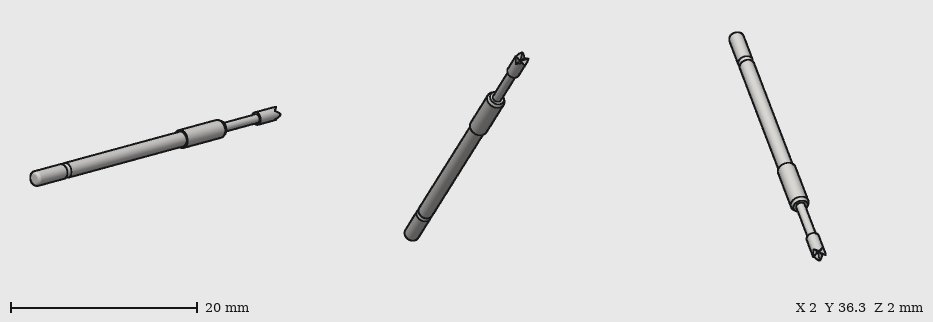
import cadquery as cq
import math

total_length = 36.3
crown_length = 3.0
tip_to_collar = 8.25
collar_length = 6.0
tail_length = 4.2
groove_width = 0.6

crown_diameter = 1.4
plunger_diameter = 0.98
collar_diameter = 2.0
barrel_diameter = 1.65
groove_diameter = 1.4

collar_nose_diameter = 1.6
collar_nose_length = 0.4
tail_fillet = 0.35

notch_depth = 0.7
notch_count = 2
first_notch_angle = 45

tip_y = total_length / 2
tail_y = -total_length / 2
crown_rear_y = tip_y - crown_length
collar_front_y = tip_y - tip_to_collar
collar_rear_y = collar_front_y - collar_length
groove_rear_y = tail_y + tail_length


def rod(rear_y, front_y, diameter):
    """Cylinder along Y between two stations."""
    plane = cq.Workplane("XZ", origin=(0, front_y, 0))
    return plane.circle(diameter / 2).extrude(front_y - rear_y)


def make_barrel():
    """Long round barrel with a rounded tail and a ring groove of arc section."""
    barrel = rod(tail_y, collar_rear_y, barrel_diameter)
    barrel = barrel.faces("<Y").edges().fillet(tail_fillet)

    barrel_radius = barrel_diameter / 2
    rear_edge = (barrel_radius, groove_rear_y)
    deepest_point = (groove_diameter / 2, groove_rear_y + groove_width / 2)
    front_edge = (barrel_radius, groove_rear_y + groove_width)
    section = cq.Workplane("XY").moveTo(*rear_edge).threePointArc(deepest_point, front_edge).close()
    groove = section.revolve(360, (0, 0, 0), (0, 1, 0))
    return barrel.cut(groove)


def make_collar():
    """Thick collar with a tapered nose."""
    collar = rod(collar_rear_y, collar_front_y, collar_diameter)
    nose_height = (collar_diameter - collar_nose_diameter) / 2
    return collar.faces(">Y").chamfer(collar_nose_length, nose_height)


def make_plunger():
    """Thin shaft joining the collar to the crown."""
    return rod(collar_front_y, crown_rear_y, plunger_diameter)


def make_crown():
    """Crown head with V-notches crossing on the diagonals."""
    radius = crown_diameter / 2
    crown = rod(crown_rear_y, tip_y, crown_diameter)

    half_width = radius * math.sin(math.pi / (2 * notch_count))
    notch_profile = [(-half_width, tip_y), (half_width, tip_y), (0, tip_y - notch_depth)]
    notch = cq.Workplane("XY").polyline(notch_profile).close().extrude(radius, both=True)
    for index in range(notch_count):
        angle = first_notch_angle + index * 180 / notch_count
        crown = crown.cut(notch.rotate((0, 0, 0), (0, 1, 0), angle))
    return crown


result = make_barrel().union(make_collar()).union(make_plunger()).union(make_crown())